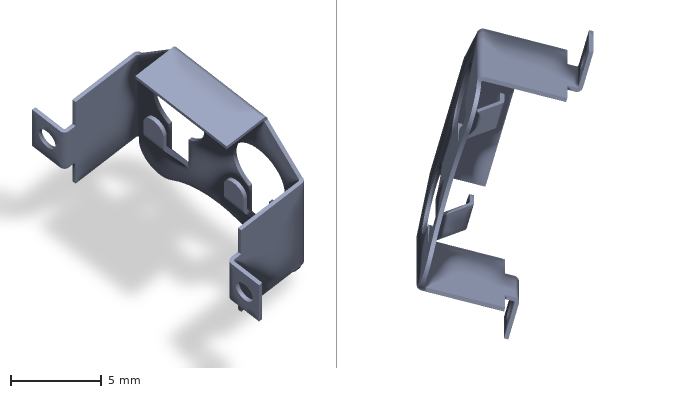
import cadquery as cq
import math


sheet = 0.25
inner_bend = 0.1
outer_bend = inner_bend + sheet

width = 17.78
depth = 5.97
height = 12.05

wall_span = 13.23
wall_bottom = 1.88
wall_height = 7.11
wall_depth = 5.1
foot_height = 3.16
foot_center_z = 5.33
foot_hole_x = 7.73
foot_hole_diameter = 1.32

flange_width = 7.15
flange_depth = 3.2

lobe_radius = 1.6
arch_top_z = 1.48

finger_x = 3.15
window_radius = 2.01
window_z = 6.85
finger_width = 1.56
finger_root_z = 2.25
finger_tip_z = 7.66
finger_reach = 2.22
finger_angle = math.radians(32)
root_bend = 1.1
tip_bend = 0.75

wall_x = wall_span / 2
wall_top = wall_bottom + wall_height
plate_x = wall_x - outer_bend
plate_top = height - outer_bend
plate_lap = 2 * outer_bend


def angle_strip(corner, first_dir, normal, first_leg, second_leg, length):
    """L-shaped bent strip; legs run from the outer corner, length is centred on it."""
    plane = cq.Plane(origin=corner, xDir=first_dir, normal=normal)
    diagonal = outer_bend * (1 - math.sqrt(0.5))
    inner_diagonal = outer_bend - inner_bend * math.sqrt(0.5)
    return (
        cq.Workplane(plane)
        .moveTo(first_leg, 0)
        .lineTo(outer_bend, 0)
        .threePointArc((diagonal, diagonal), (0, outer_bend))
        .lineTo(0, second_leg)
        .lineTo(sheet, second_leg)
        .lineTo(sheet, outer_bend)
        .threePointArc((inner_diagonal, inner_diagonal), (outer_bend, sheet))
        .lineTo(first_leg, sheet)
        .close()
        .extrude(length / 2, both=True)
    )


def back_plate():
    """Flat plate with sloped shoulders, round lower lobes and a tangent arch."""
    lobe_x = plate_x - lobe_radius
    rise = lobe_radius - arch_top_z
    arch_radius = (lobe_x**2 + rise**2 - lobe_radius**2) / (2 * (lobe_radius - rise))
    share = lobe_radius / (lobe_radius + arch_radius)
    touch_x = lobe_x * (1 - share)
    touch_z = lobe_radius - share * (rise + arch_radius)
    return (
        cq.Workplane("XZ")
        .moveTo(-flange_width / 2, plate_top)
        .lineTo(flange_width / 2, plate_top)
        .lineTo(plate_x, wall_top)
        .lineTo(plate_x, lobe_radius)
        .threePointArc((lobe_x, 0), (touch_x, touch_z))
        .threePointArc((0, arch_top_z), (-touch_x, touch_z))
        .threePointArc((-lobe_x, 0), (-plate_x, lobe_radius))
        .lineTo(-plate_x, wall_top)
        .close()
        .extrude(sheet)
    )


def window(x):
    """Round opening with a slot below it, from which the finger is bent."""
    slot_height = window_z - finger_root_z
    opening = cq.Workplane("XZ").center(x, window_z).circle(window_radius).extrude(sheet)
    slot = (
        cq.Workplane("XZ")
        .center(x, window_z - slot_height / 2)
        .rect(finger_width, slot_height)
        .extrude(sheet)
    )
    return opening.union(slot)


def finger(x):
    """Spring finger leaning forward from the plate and ending in a round upright tip."""
    sine = math.sin(finger_angle)
    cosine = math.cos(finger_angle)
    bend_advance = (root_bend + tip_bend) * (1 - cosine)
    slope_rise = (finger_reach - sheet - bend_advance) * cosine / sine

    root_center = (-sheet - root_bend, finger_root_z)
    tip_center_z = finger_root_z + (root_bend + tip_bend) * sine + slope_rise
    tip_center = (-finger_reach + tip_bend, tip_center_z)

    def root_point(radius, angle):
        return (
            root_center[0] + radius * math.cos(angle),
            root_center[1] + radius * math.sin(angle),
        )

    def tip_point(radius, angle):
        return (
            tip_center[0] - radius * math.cos(angle),
            tip_center[1] - radius * math.sin(angle),
        )

    back_root = root_bend + sheet
    back_tip = tip_bend - sheet
    half_angle = finger_angle / 2
    strip = (
        cq.Workplane("YZ", origin=(x, 0, 0))
        .moveTo(*root_point(root_bend, 0))
        .threePointArc(root_point(root_bend, half_angle), root_point(root_bend, finger_angle))
        .lineTo(*tip_point(tip_bend, finger_angle))
        .threePointArc(tip_point(tip_bend, half_angle), tip_point(tip_bend, 0))
        .lineTo(-finger_reach, finger_tip_z)
        .lineTo(-finger_reach + sheet, finger_tip_z)
        .lineTo(*tip_point(back_tip, 0))
        .threePointArc(tip_point(back_tip, half_angle), tip_point(back_tip, finger_angle))
        .lineTo(*root_point(back_root, finger_angle))
        .threePointArc(root_point(back_root, half_angle), root_point(back_root, 0))
        .close()
        .extrude(finger_width / 2, both=True)
    )
    tip_radius = finger_width / 2
    outline = (
        cq.Workplane("XZ")
        .moveTo(x - tip_radius, 0)
        .lineTo(x - tip_radius, finger_tip_z - tip_radius)
        .threePointArc((x, finger_tip_z), (x + tip_radius, finger_tip_z - tip_radius))
        .lineTo(x + tip_radius, 0)
        .close()
        .extrude(depth)
    )
    return strip.intersect(outline)


def side(sign):
    """Side wall bent forward from the plate, with its foot bent outward."""
    wall = angle_strip(
        (sign * wall_x, 0, wall_bottom + wall_height / 2),
        (-sign, 0, 0),
        (0, 0, sign),
        plate_lap,
        wall_depth,
        wall_height,
    )
    inner_x = wall_x - sheet
    foot = angle_strip(
        (sign * inner_x, -depth, foot_center_z),
        (sign, 0, 0),
        (0, 0, sign),
        width / 2 - inner_x,
        depth - wall_depth,
        foot_height,
    )
    hole = (
        cq.Workplane("XZ")
        .center(sign * foot_hole_x, foot_center_z)
        .circle(foot_hole_diameter / 2)
        .extrude(depth)
    )
    return wall.union(foot.cut(hole))


top_flange = angle_strip(
    (0, 0, height),
    (0, -1, 0),
    (1, 0, 0),
    flange_depth,
    plate_lap,
    flange_width,
)

result = back_plate().union(top_flange)
for sign in (-1, 1):
    result = result.cut(window(sign * finger_x))
    result = result.union(finger(sign * finger_x))
    result = result.union(side(sign))